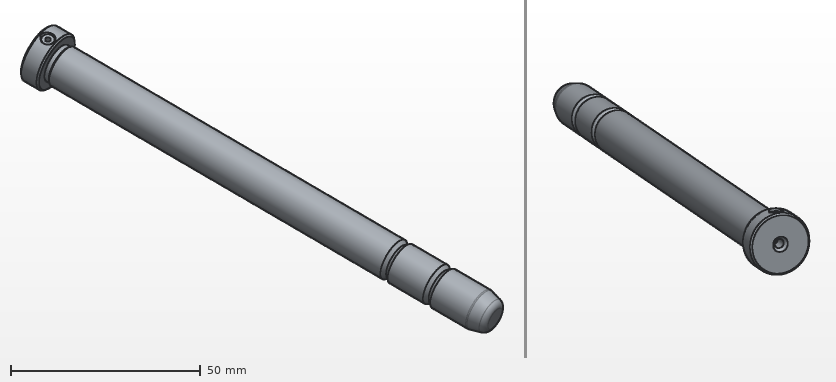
import cadquery as cq
import math

LENGTH = 150.0
SHAFT_DIAMETER = 12.0
HEAD_DIAMETER = 17.0
HEAD_LENGTH = 6.0
HEAD_CHAMFER = 0.5

UNDERCUT_LENGTH = 1.8
UNDERCUT_DEPTH = 0.4
UNDERCUT_RUNOUT = 0.4

GROOVE_CENTERS = (118.0, 132.0)
GROOVE_WIDTH = 2.4
GROOVE_DEPTH = 0.9

TIP_LENGTH = 5.0
TIP_TAPER_ANGLE = 15.0
TIP_BLEND_RADIUS = 1.5
TIP_ROUNDING = 2.0

AXIAL_HOLE_DIAMETER = 2.5
AXIAL_HOLE_DEPTH = 5.0
COUNTERSINK_DIAMETER = 4.2

RADIAL_HOLE_DIAMETER = 1.5
RADIAL_HOLE_DEPTH = 3.0
COUNTERBORE_MOUTH_DIAMETER = 4.2
COUNTERBORE_FLOOR_DIAMETER = 3.5
COUNTERBORE_DEPTH = 0.6

DRILL_POINT_ANGLE = 118.0

shaft_radius = SHAFT_DIAMETER / 2
head_radius = HEAD_DIAMETER / 2


def turn(profile):
    """Revolve a closed XZ profile fully about the X axis."""
    return profile.close().revolve(360, (0, 0, 0), (1, 0, 0))


def make_pin():
    """Head, undercut, shaft and tapered tip, turned about the X axis."""
    undercut_radius = shaft_radius - UNDERCUT_DEPTH
    undercut_end = HEAD_LENGTH + UNDERCUT_LENGTH
    tip_start = LENGTH - TIP_LENGTH
    tip_end_radius = shaft_radius - TIP_LENGTH * math.tan(math.radians(TIP_TAPER_ANGLE))
    pin = turn(
        cq.Workplane("XZ")
        .moveTo(0, 0)
        .lineTo(0, head_radius - HEAD_CHAMFER)
        .lineTo(HEAD_CHAMFER, head_radius)
        .lineTo(HEAD_LENGTH - HEAD_CHAMFER, head_radius)
        .lineTo(HEAD_LENGTH, head_radius - HEAD_CHAMFER)
        .lineTo(HEAD_LENGTH, undercut_radius)
        .lineTo(undercut_end - UNDERCUT_RUNOUT, undercut_radius)
        .lineTo(undercut_end, shaft_radius)
        .lineTo(tip_start, shaft_radius)
        .lineTo(LENGTH, tip_end_radius)
        .lineTo(LENGTH, 0)
    )
    pin = pin.faces(">X").edges().fillet(TIP_ROUNDING)
    taper_start = cq.selectors.BoxSelector(
        (tip_start - TIP_BLEND_RADIUS, -head_radius, -head_radius),
        (tip_start + TIP_BLEND_RADIUS, head_radius, head_radius),
    )
    return pin.edges("%CIRCLE").edges(taper_start).fillet(TIP_BLEND_RADIUS)


def make_ring_groove(center):
    """Ring with a V section that cuts a groove into the shaft."""
    half_width = GROOVE_WIDTH / 2
    return turn(
        cq.Workplane("XZ")
        .moveTo(center - half_width, shaft_radius)
        .lineTo(center, shaft_radius - GROOVE_DEPTH)
        .lineTo(center + half_width, shaft_radius)
    )


def drill_point_length(hole_radius):
    """Length of the conical bottom of a drilled hole."""
    return hole_radius / math.tan(math.radians(DRILL_POINT_ANGLE / 2))


def make_axial_hole():
    """Centre hole in the head face with a 90 degree countersink."""
    mouth_radius = COUNTERSINK_DIAMETER / 2
    hole_radius = AXIAL_HOLE_DIAMETER / 2
    countersink_depth = mouth_radius - hole_radius
    outline = cq.Workplane("XZ").polyline(
        [
            (0, 0),
            (0, mouth_radius),
            (countersink_depth, hole_radius),
            (AXIAL_HOLE_DEPTH, hole_radius),
            (AXIAL_HOLE_DEPTH + drill_point_length(hole_radius), 0),
        ]
    )
    return turn(outline)


def make_radial_hole():
    """Stepped hole that goes down into the top of the head."""
    hole_radius = RADIAL_HOLE_DIAMETER / 2
    outline = cq.Workplane("XZ").polyline(
        [
            (0, 0),
            (0, COUNTERBORE_MOUTH_DIAMETER / 2),
            (COUNTERBORE_DEPTH, COUNTERBORE_FLOOR_DIAMETER / 2),
            (COUNTERBORE_DEPTH, hole_radius),
            (RADIAL_HOLE_DEPTH, hole_radius),
            (RADIAL_HOLE_DEPTH + drill_point_length(hole_radius), 0),
        ]
    )
    pointing_down = turn(outline).rotate((0, 0, 0), (0, 1, 0), 90)
    return pointing_down.translate((HEAD_LENGTH / 2, 0, head_radius))


result = make_pin()
for groove_center in GROOVE_CENTERS:
    result = result.cut(make_ring_groove(groove_center))
result = result.cut(make_axial_hole())
result = result.cut(make_radial_hole())